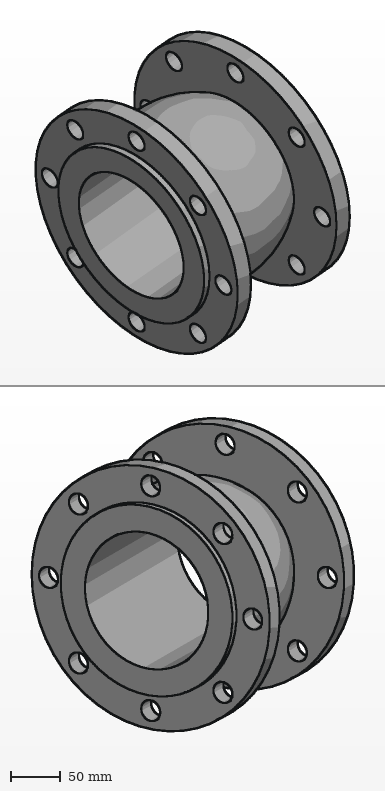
import cadquery as cq

flange_diameter = 280.0
overall_length = 180.0
bore_diameter = 145.0

flange_thickness = 19.5
raised_face_diameter = 202.0
raised_face_height = 7.8

bolt_hole_count = 8
bolt_hole_diameter = 22.0
bolt_circle_diameter = 240.2

body_diameter = 200.8
body_end_diameter = 162.5

half_length = overall_length / 2
flange_outer_y = half_length - raised_face_height
flange_inner_y = flange_outer_y - flange_thickness


def disc(diameter, start_y, end_y):
    """Solid disc centred on the Y axis, from start_y to end_y."""
    return (
        cq.Workplane("XZ", origin=(0, end_y, 0))
        .circle(diameter / 2)
        .extrude(end_y - start_y)
    )


def bulged_body():
    """Barrel made by revolving one arc, widest midway between the flanges."""
    return (
        cq.Workplane("XY")
        .moveTo(0, -flange_inner_y)
        .lineTo(body_end_diameter / 2, -flange_inner_y)
        .threePointArc((body_diameter / 2, 0), (body_end_diameter / 2, flange_inner_y))
        .lineTo(0, flange_inner_y)
        .close()
        .revolve(360, (0, 0, 0), (0, 1, 0))
    )


def front_flange():
    """Flange with its raised face on the -Y side."""
    plate = disc(flange_diameter, -flange_outer_y, -flange_inner_y)
    raised_face = disc(raised_face_diameter, -half_length, -flange_outer_y)
    return plate.union(raised_face)


def bolt_holes():
    """Ring of cutters passing through both flanges but clear of the body."""
    return (
        cq.Workplane("XZ", origin=(0, half_length, 0))
        .polarArray(bolt_circle_diameter / 2, 0, 360, bolt_hole_count)
        .circle(bolt_hole_diameter / 2)
        .extrude(overall_length)
    )


flange = front_flange()
bore = disc(bore_diameter, -half_length, half_length)

result = (
    bulged_body()
    .union(flange)
    .union(flange.mirror("XZ"))
    .cut(bolt_holes())
    .cut(bore)
)